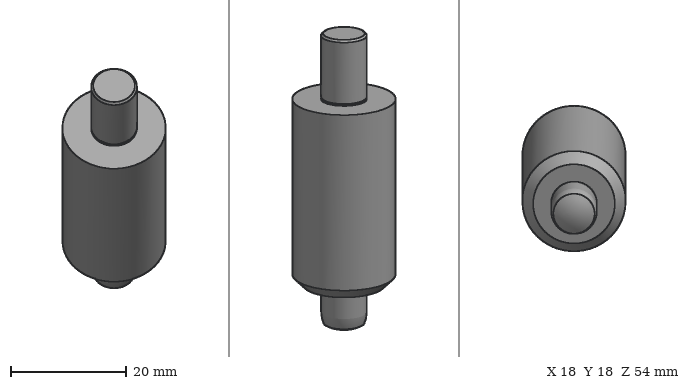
import cadquery as cq
import math

total_length = 54.0
sleeve_diameter = 18.0
sleeve_length = 34.0
sleeve_chamfer = 1.9
pin_diameter = 8.0
pin_chamfer = 0.4
nose_length = 8.0
dome_height = 1.0
shoulder_height = 2.0
shoulder_arc_radius = 5.0

sleeve_radius = sleeve_diameter / 2
pin_radius = pin_diameter / 2
neck_radius = pin_radius - pin_chamfer
sleeve_bottom = nose_length
sleeve_top = sleeve_bottom + sleeve_length
shoulder_top = dome_height + shoulder_height


def make_sleeve():
    """Cylindrical sleeve with a chamfered bottom rim and a straight through bore."""
    sleeve = cq.Workplane("XY", origin=(0, 0, sleeve_bottom)).circle(sleeve_radius).extrude(sleeve_length)
    sleeve = sleeve.faces("<Z").edges().chamfer(sleeve_chamfer)
    bore = cq.Workplane("XY", origin=(0, 0, sleeve_bottom)).circle(pin_radius).extrude(sleeve_length)
    return sleeve.cut(bore)


def shoulder_radius(z):
    """Pin radius at height z on the shoulder arc, which runs tangent into the cylinder."""
    drop = shoulder_top - z
    inset = shoulder_arc_radius - math.sqrt(shoulder_arc_radius**2 - drop**2)
    return pin_radius - inset


def make_pin():
    """Pin through the sleeve: domed nose below, shoulder flush with the sleeve top, chamfered end above."""
    dome_rim_radius = shoulder_radius(dome_height)
    dome_sphere_radius = (dome_rim_radius**2 + dome_height**2) / (2 * dome_height)
    dome_mid_radius = dome_rim_radius / 2
    dome_mid_z = dome_sphere_radius - math.sqrt(dome_sphere_radius**2 - dome_mid_radius**2)
    shoulder_mid_z = dome_height + shoulder_height / 2

    profile = (
        cq.Workplane("XZ")
        .moveTo(0, 0)
        .threePointArc((dome_mid_radius, dome_mid_z), (dome_rim_radius, dome_height))
        .threePointArc((shoulder_radius(shoulder_mid_z), shoulder_mid_z), (pin_radius, shoulder_top))
        .lineTo(pin_radius, sleeve_top)
        .lineTo(neck_radius, sleeve_top)
        .lineTo(pin_radius, sleeve_top + pin_chamfer)
        .lineTo(pin_radius, total_length - pin_chamfer)
        .lineTo(pin_radius - pin_chamfer, total_length)
        .lineTo(0, total_length)
        .close()
    )
    return profile.revolve(360, (0, 0, 0), (0, 1, 0))


sleeve = make_sleeve()
pin = make_pin()

result = cq.Compound.makeCompound([sleeve.val(), pin.val()])